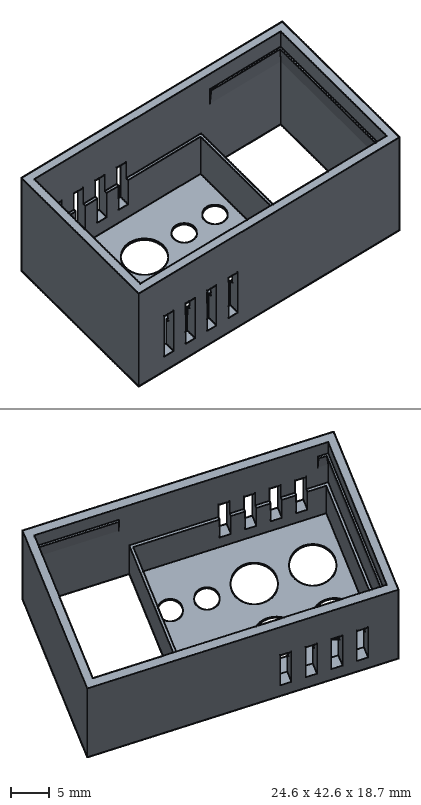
import cadquery as cq

LENGTH = 42.6
WIDTH = 24.6
HEIGHT = 18.7
WALL = 1.2

TRAY_BACK = 28.4
TRAY_RIM = 7.8
TRAY_WALL = 0.405
FLOOR = 0.35

HOLE_SPACING = 8.4
SMALL_HOLE_DIAMETER = 3.3
SMALL_HOLE_ROWS = (20.28, 25.3)
LARGE_HOLE_DIAMETER = 6.1
LARGE_HOLE_ROWS = (5.8, 13.8)

VENT_COUNT = 4
VENT_WIDTH = 1.55
VENT_PITCH = 3.5
VENT_FIRST = 4.95
VENT_BOTTOM = 2.95
VENT_TOP = 11.05

LEDGE_DEPTH = 0.3
LEDGE_TOP = 15.65
LEDGE_HEIGHT = 3.0
BACK_LEDGE_START = 29.85
FRONT_LEDGE_END = 2.6

INNER_WIDTH = WIDTH - 2 * WALL
INNER_LENGTH = LENGTH - 2 * WALL


def block(x_range, y_range, z_range):
    """Box spanning the given ranges."""
    corner = (x_range[0], y_range[0], z_range[0])
    size = [high - low for low, high in (x_range, y_range, z_range)]
    return cq.Workplane("XY").box(*size, centered=False).translate(corner)


def make_case():
    outside = block((0, WIDTH), (0, LENGTH), (0, HEIGHT))
    inside = block((WALL, WIDTH - WALL), (WALL, LENGTH - WALL), (0, HEIGHT))
    return outside.cut(inside)


def make_tray():
    outside = block((WALL, WIDTH - WALL), (WALL, TRAY_BACK), (0, TRAY_RIM))
    inset = WALL + TRAY_WALL
    pocket = block((inset, WIDTH - inset), (inset, TRAY_BACK - TRAY_WALL), (FLOOR, TRAY_RIM))
    return outside.cut(pocket)


def make_holes(diameter, rows):
    centers = [(WIDTH / 2 + side * HOLE_SPACING / 2, y) for y in rows for side in (-1, 1)]
    return cq.Workplane("XY").pushPoints(centers).circle(diameter / 2).extrude(FLOOR)


def make_vent(index):
    center = VENT_FIRST + index * VENT_PITCH
    y_range = (center - VENT_WIDTH / 2, center + VENT_WIDTH / 2)
    return block((0, WIDTH), y_range, (VENT_BOTTOM, VENT_TOP))


def make_ledge_ring():
    """Ledge running around all four inner walls."""
    ledge_bottom = LEDGE_TOP - LEDGE_HEIGHT
    ring = block((WALL, WIDTH - WALL), (WALL, LENGTH - WALL), (ledge_bottom, LEDGE_TOP))
    opening = (
        cq.Workplane("XY", origin=(WIDTH / 2, LENGTH / 2, ledge_bottom))
        .rect(INNER_WIDTH, INNER_LENGTH)
        .workplane(offset=LEDGE_HEIGHT)
        .rect(INNER_WIDTH - 2 * LEDGE_DEPTH, INNER_LENGTH - 2 * LEDGE_DEPTH)
        .loft(ruled=True)
    )
    return ring.cut(opening)


def make_ledges():
    """Front and back ledges with their short returns along the side walls."""
    gap = block((0, WIDTH), (FRONT_LEDGE_END, BACK_LEDGE_START), (0, HEIGHT))
    return make_ledge_ring().cut(gap)


result = make_case().union(make_tray())
result = result.cut(make_holes(SMALL_HOLE_DIAMETER, SMALL_HOLE_ROWS))
result = result.cut(make_holes(LARGE_HOLE_DIAMETER, LARGE_HOLE_ROWS))
for vent_index in range(VENT_COUNT):
    result = result.cut(make_vent(vent_index))
result = result.union(make_ledges())